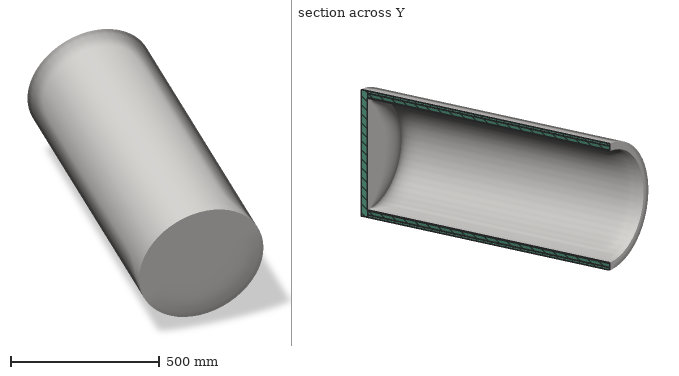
import cadquery as cq

total_length = 1025.0
outer_diameter = 451.0
end_plate_thickness = 28.0

jacket_bore = 430.0
wall_bore = 400.0
liner_bore = 396.0

sleeve_length = total_length - end_plate_thickness


def make_sleeve(outside_diameter, inside_diameter):
    """Straight tube from the open end at X = 0 to the end plate."""
    return (
        cq.Workplane("YZ")
        .circle(outside_diameter / 2)
        .circle(inside_diameter / 2)
        .extrude(sleeve_length)
    )


def make_end_plate():
    """Plain disc that closes the far end of all the sleeves."""
    return (
        cq.Workplane("YZ", origin=(sleeve_length, 0, 0))
        .circle(outer_diameter / 2)
        .extrude(end_plate_thickness)
    )


jacket = make_sleeve(outer_diameter, jacket_bore)
wall = make_sleeve(jacket_bore, wall_bore)
liner = make_sleeve(wall_bore, liner_bore)
end_plate = make_end_plate()

result = cq.Compound.makeCompound([
    jacket.val(),
    wall.val(),
    liner.val(),
    end_plate.val(),
])